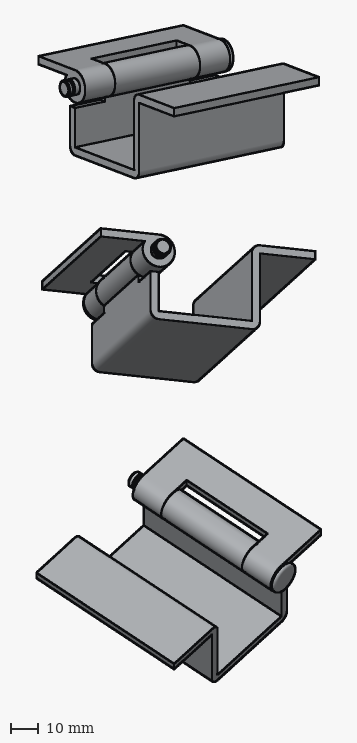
import cadquery as cq

sheet = 3.1
pin_radius = 3.0
knuckle_radius = pin_radius + sheet
clearance = 1.95
notch_reach = knuckle_radius + clearance

total_width = 81.5
total_height = 32.0
plate_length = 64.95
middle_knuckle_length = 38.1
axis_from_left = 22.0
end_knuckle_length = (plate_length - middle_knuckle_length) / 2

left_edge = -axis_from_left
right_edge = total_width - axis_from_left
top = knuckle_radius
bottom = top - total_height
front_end = -plate_length / 2
back_end = plate_length / 2

left_wall = -sheet
right_wall = 35.4
bend_radius = sheet

head_radius = 6.0
head_thickness = 2.0
tail_length = 5.0
tip_chamfer = 0.4
groove_start = 2.3
groove_width = 0.65
groove_depth = 0.3


def box(x_min, x_max, y_length, z_min, z_max):
    """Block between the given X and Z limits, centred on Y."""
    size_x = x_max - x_min
    size_z = z_max - z_min
    center = ((x_min + x_max) / 2, 0, (z_min + z_max) / 2)
    return cq.Workplane("XY").box(size_x, y_length, size_z).translate(center)


def rod(radius, y_start, length):
    """Cylinder on the pin axis, running from y_start toward +Y."""
    return cq.Workplane("XZ", origin=(0, y_start, 0)).circle(radius).extrude(-length)


def make_leaf():
    """Flat leaf with a knuckle at each end and a notch between them."""
    plate = box(left_edge, 0, plate_length, top - sheet, top)
    barrel = rod(knuckle_radius, front_end, plate_length)
    notch = box(-notch_reach, notch_reach, middle_knuckle_length, -notch_reach, notch_reach)
    bore = rod(pin_radius, front_end, plate_length)
    return plate.union(barrel).cut(notch).cut(bore)


def make_channel():
    """Bent channel with an outer flange and the middle knuckle on its left wall."""
    profile = (
        cq.Workplane("XZ", origin=(0, front_end, 0))
        .moveTo(left_wall, 0)
        .lineTo(left_wall, bottom + bend_radius)
        .radiusArc((left_wall + bend_radius, bottom), -bend_radius)
        .lineTo(right_wall + sheet - bend_radius, bottom)
        .radiusArc((right_wall + sheet, bottom + bend_radius), -bend_radius)
        .lineTo(right_wall + sheet, top - sheet)
        .lineTo(right_edge, top - sheet)
        .lineTo(right_edge, top)
        .lineTo(right_wall + bend_radius, top)
        .radiusArc((right_wall, top - bend_radius), -bend_radius)
        .lineTo(right_wall, bottom + sheet)
        .lineTo(0, bottom + sheet)
        .lineTo(0, 0)
        .close()
    )
    channel = profile.extrude(-plate_length)

    notch = box(-notch_reach, notch_reach, end_knuckle_length, -notch_reach, notch_reach)
    notch_offset = (plate_length - end_knuckle_length) / 2
    for side in (-1, 1):
        channel = channel.cut(notch.translate((0, side * notch_offset, 0)))

    knuckle = rod(knuckle_radius, -middle_knuckle_length / 2, middle_knuckle_length)
    bore = rod(pin_radius, front_end, plate_length)
    return channel.union(knuckle).cut(bore)


def make_pin():
    """Pin with a fully rounded head rim at the back and a grooved, chamfered tail in front."""
    tip = front_end - tail_length
    shank = rod(pin_radius, tip, back_end - tip).faces("<Y").chamfer(tip_chamfer)
    flat_radius = head_radius - head_thickness / 2
    head = (
        cq.Workplane("XY")
        .moveTo(0, back_end)
        .lineTo(flat_radius, back_end)
        .threePointArc((head_radius, back_end + head_thickness / 2), (flat_radius, back_end + head_thickness))
        .lineTo(0, back_end + head_thickness)
        .close()
        .revolve(360, (0, 0), (0, 1))
    )
    groove_front = front_end - groove_start - groove_width
    groove = rod(pin_radius, groove_front, groove_width).cut(
        rod(pin_radius - groove_depth, groove_front, groove_width)
    )
    return shank.cut(groove).union(head)


leaf = make_leaf()
channel = make_channel()
pin = make_pin()

result = cq.Compound.makeCompound([leaf.val(), channel.val(), pin.val()])